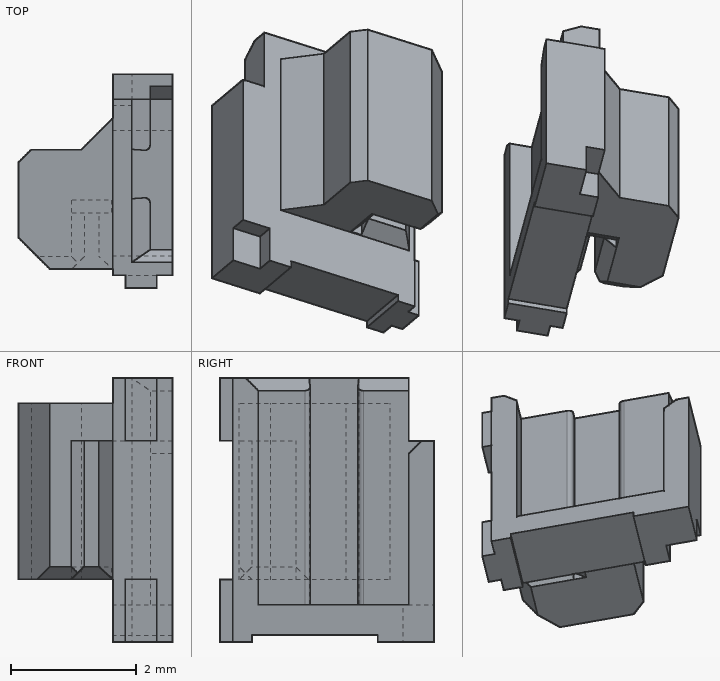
import cadquery as cq

plate_depth = 0.95
plate_width = 3.2
height = 4.2
bevel = 0.2
step_y = 2.8
step_z = 3.2

tab_start = 0.2
tab_length = 0.5
tab_reach = 0.2
tab_height = 1.0

foot_start = 0.31
foot_width = 1.995
foot_height = 0.115
corner_width = 0.5
corner_height = 0.595
corner_depth = 0.3

rim_depth = 0.3
pad_face = 0.592
side_wall = 0.407
channel_floor = 0.595
recess_start = 1.22
recess_end = 2.005
pad_draft = 0.02
pad_round = 0.085

body_reach = 1.5
body_side = 0.1
body_back = 2.5
body_bottom = 1.0
body_top = 3.8
side_chamfer = 0.5
back_shoulder = 2.0

groove_width = 0.235
groove_offset = 0.223
groove_end = 1.0
groove_top = 3.2


def box(x0, x1, y0, y1, z0, z1):
    """Box between two corners."""
    return cq.Workplane("XY").box(x1 - x0, y1 - y0, z1 - z0, centered=False).translate((x0, y0, z0))


def make_plate():
    """Plate with a stepped top corner, a raised middle between two feet and a front corner notch."""
    plate = box(0, plate_depth, 0, plate_width, 0, height)
    plate = plate.cut(box(0, plate_depth, step_y, plate_width, step_z, height))
    plate = plate.cut(box(0, plate_depth, foot_start, foot_start + foot_width, 0, foot_height))
    corner_start = plate_width - corner_width
    return plate.cut(box(0, corner_depth, corner_start, plate_width, 0, corner_height))


def make_tabs():
    """Two tabs at the top and bottom of the plate's side face."""
    tabs = cq.Workplane("XY")
    for z in (0, height - tab_height):
        tabs = tabs.add(box(tab_start, tab_start + tab_length, -tab_reach, 0, z, z + tab_height))
    return tabs.combine()


def make_channel():
    """Back channel with lead-in bevels and a central recess between two rounded pads."""
    channel = box(pad_face, plate_depth, side_wall, step_y, channel_floor, height)
    mouth_start = recess_start + pad_draft
    mouth_end = recess_end - pad_draft
    recess = (
        cq.Workplane("XY", origin=(0, 0, channel_floor))
        .moveTo(rim_depth, recess_start)
        .lineTo(pad_face, mouth_start)
        .lineTo(pad_face, mouth_end)
        .lineTo(rim_depth, recess_end)
        .close()
        .extrude(height - channel_floor)
    )
    channel = channel.union(recess)
    for y in (mouth_start, mouth_end):
        selector = cq.selectors.NearestToPointSelector((pad_face, y, (channel_floor + height) / 2))
        channel = channel.edges(selector).fillet(pad_round)

    lead_in = (
        cq.Workplane("XY", origin=(0, 0, height))
        .moveTo(rim_depth, side_wall - bevel)
        .lineTo(plate_depth, side_wall - bevel)
        .lineTo(plate_depth, step_y)
        .lineTo(rim_depth, step_y)
        .close()
        .workplane(offset=-bevel)
        .moveTo(pad_face, side_wall)
        .lineTo(plate_depth, side_wall)
        .lineTo(plate_depth, step_y)
        .lineTo(pad_face, step_y)
        .close()
        .loft(ruled=True)
    )
    ledge_bevel = (
        cq.Workplane("YZ", origin=(pad_face, 0, 0))
        .polyline([(step_y, step_z - bevel), (step_y + bevel, step_z), (step_y, step_z)])
        .close()
        .extrude(plate_depth - pad_face)
    )
    return channel.union(lead_in).union(ledge_bevel)


def make_groove():
    """Keying groove whose mouth flares toward the side and toward the bottom."""
    right = -groove_offset
    left = right - groove_width
    throat = box(left, right, body_side, groove_end, body_bottom, groove_top)
    flare = [(left - bevel, 0), (0, 0), (right, bevel), (left, bevel)]
    side_flare = (
        cq.Workplane("XY", origin=(0, body_side, body_bottom))
        .polyline(flare)
        .close()
        .extrude(groove_top - body_bottom)
    )
    bottom_flare = (
        cq.Workplane("XZ", origin=(0, body_side, body_bottom))
        .polyline(flare)
        .close()
        .extrude(body_side - groove_end)
    )
    end_bevel = (
        cq.Workplane("YZ", origin=(left - bevel, 0, body_bottom))
        .polyline([(groove_end, 0), (groove_end + bevel, 0), (groove_end, bevel)])
        .close()
        .extrude(groove_width + 2 * bevel)
    )
    return throat.union(side_flare).union(bottom_flare).union(end_bevel)


def make_body():
    """Chamfered body with a bevelled lower side edge and the keying groove."""
    body = (
        cq.Workplane("XY", origin=(0, 0, body_bottom))
        .moveTo(0, body_side)
        .lineTo(side_chamfer - body_reach, body_side)
        .lineTo(-body_reach, body_side + side_chamfer)
        .lineTo(-body_reach, back_shoulder - bevel)
        .lineTo(bevel - body_reach, back_shoulder)
        .lineTo(back_shoulder - body_back, back_shoulder)
        .lineTo(0, body_back)
        .close()
        .extrude(body_top - body_bottom)
    )
    lower_bevel = (
        cq.Workplane("YZ", origin=(-body_reach, 0, body_bottom))
        .polyline([(body_side, 0), (body_side + bevel, 0), (body_side, bevel)])
        .close()
        .extrude(body_reach - groove_offset - groove_width)
    )
    return body.cut(lower_bevel).cut(make_groove())


result = make_plate().cut(make_channel()).union(make_tabs()).union(make_body())